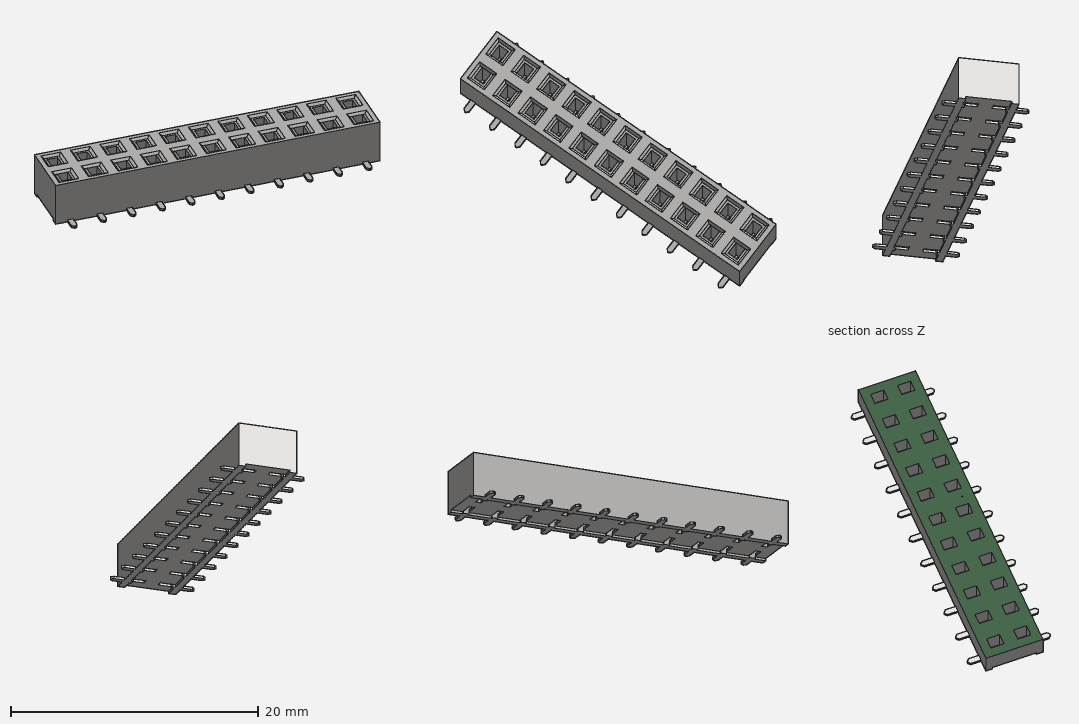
import cadquery as cq


pitch = 2.54
contacts_per_row = 11

housing_width = 5.0
housing_length = pitch * contacts_per_row
overall_height = 3.7
rail_width = 0.6

tail_span = 7.2
tail_width = 0.5
tail_thickness = 0.2
tail_tip_chamfer = 0.2

mouth_size = 1.7
throat_size = 1.3
lead_in_depth = 0.2
ledge_width = 0.2
floor_thickness = 0.2
slot_width = tail_width

standoff = tail_thickness
pocket_length = throat_size - ledge_width
pocket_width = throat_size - 2 * ledge_width
ledge_z = overall_height - lead_in_depth
pocket_floor_z = standoff + floor_thickness
row_x = pitch / 2
pocket_outer_x = row_x + throat_size / 2 - ledge_width
pocket_center_x = pocket_outer_x - pocket_length / 2
first_contact_y = -pitch * (contacts_per_row - 1) / 2


def box_between(x_center, x_size, y_size, z_low, z_high):
    """Box centred on y = 0, spanning the given heights."""
    box = cq.Workplane("XY").box(x_size, y_size, z_high - z_low, centered=(True, True, False))
    return box.translate((x_center, 0, z_low))


def make_housing():
    """Block with a shallow channel underneath that leaves a rail along each side."""
    channel_width = housing_width - 2 * rail_width
    block = box_between(0, housing_width, housing_length, 0, overall_height)
    return block.cut(box_between(0, channel_width, housing_length, 0, standoff))


def make_socket(side):
    """Cavity of one socket at y = 0; side is -1 or +1 for the row at -X or +X."""
    lead_in = (
        cq.Workplane("XY", origin=(side * row_x, 0, ledge_z))
        .rect(throat_size, throat_size)
        .workplane(offset=lead_in_depth)
        .rect(mouth_size, mouth_size)
        .loft(combine=True)
    )
    pocket = box_between(side * pocket_center_x, pocket_length, pocket_width, pocket_floor_z, ledge_z)
    slot = box_between(side * pocket_center_x, pocket_length, slot_width, 0, pocket_floor_z)
    return lead_in.union(pocket).union(slot)


def make_tail(side):
    """Flat solder tail at y = 0, from the edge of the slot out past the housing, with a pointed tip."""
    tail_length = tail_span / 2 - pocket_outer_x
    tail_center_x = side * (pocket_outer_x + tail_length / 2)
    tip_edges = "|Z and >X" if side > 0 else "|Z and <X"
    tail = box_between(tail_center_x, tail_length, tail_width, 0, tail_thickness)
    return tail.edges(tip_edges).chamfer(tail_tip_chamfer)


result = make_housing()
for side in (-1, 1):
    socket = make_socket(side)
    tail = make_tail(side)
    for index in range(contacts_per_row):
        contact_position = (0, first_contact_y + index * pitch, 0)
        result = result.cut(socket.translate(contact_position))
        result = result.union(tail.translate(contact_position))